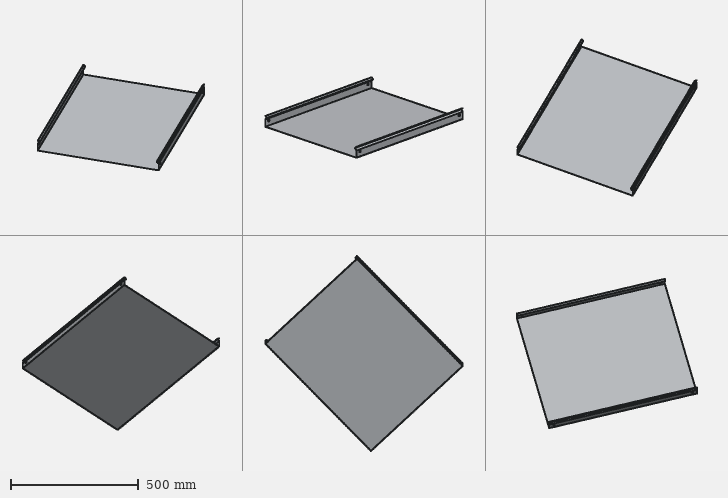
import cadquery as cq
import math

width = 498.0
length = 600.0
height = 46.0
sheet = 0.8

lip_angle = math.radians(45.0)
lip_run = 8.0
tip_inset = 0.9

hole_diameter = 7.0
hole_end_distance = 20.0
hole_height = 21.0

lip_edge_z = height - sheet * math.cos(lip_angle)
apex_z = lip_edge_z - (lip_run - tip_inset) * math.tan(lip_angle)
bend_z = apex_z - lip_run * math.tan(lip_angle)

inner_bend_z = bend_z + sheet * (math.tan(lip_angle) - 1 / math.cos(lip_angle))
inner_apex_inset = lip_run + sheet / math.sin(lip_angle)
inner_tip_inset = tip_inset + sheet * math.sin(lip_angle)


def side_wall():
    """Left wall with its lip, as a profile extruded along Y."""
    outer_face = [(0, 0), (0, bend_z), (lip_run, apex_z), (tip_inset, lip_edge_z)]
    inner_face = [
        (inner_tip_inset, height),
        (inner_apex_inset, apex_z),
        (sheet, inner_bend_z),
        (sheet, 0),
    ]
    return (
        cq.Workplane("XZ")
        .polyline(outer_face + inner_face)
        .close()
        .extrude(length / 2, both=True)
        .translate((-width / 2, 0, 0))
    )


def mounting_holes():
    """Cutters that cross the full width, piercing both walls."""
    hole_y = length / 2 - hole_end_distance
    return (
        cq.Workplane("YZ")
        .pushPoints([(-hole_y, hole_height), (hole_y, hole_height)])
        .circle(hole_diameter / 2)
        .extrude(width, both=True)
    )


floor = cq.Workplane("XY").box(width, length, sheet, centered=(True, True, False))
left_wall = side_wall()
right_wall = left_wall.mirror("YZ")

result = floor.union(left_wall).union(right_wall).cut(mounting_holes())